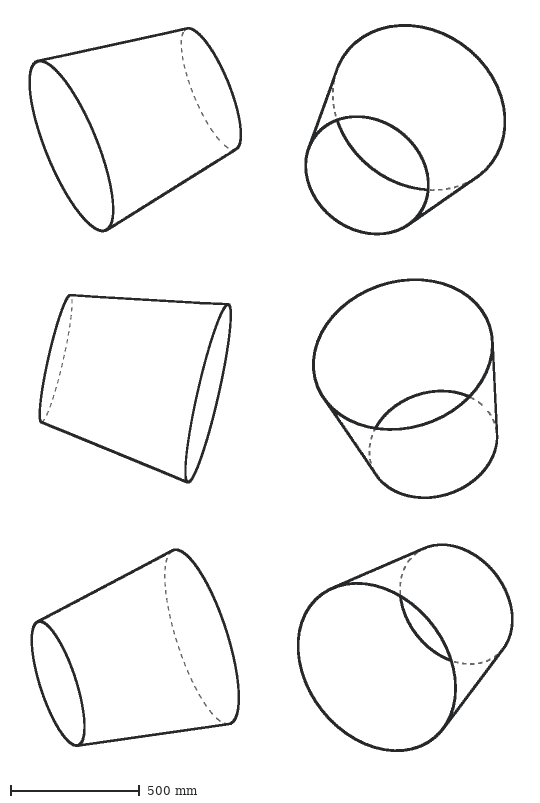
import cadquery as cq

large_diameter = 711.0
small_diameter = 508.0
length = 610.0
wall = 3.0

large_radius = large_diameter / 2
small_radius = small_diameter / 2
front_y = 0.0
back_y = front_y + length

wall_section = (
    cq.Workplane("XY")
    .moveTo(large_radius, front_y)
    .lineTo(small_radius, back_y)
    .lineTo(small_radius - wall, back_y)
    .lineTo(large_radius - wall, front_y)
    .close()
)

result = wall_section.revolve(360, (0, 0, 0), (0, 1, 0))